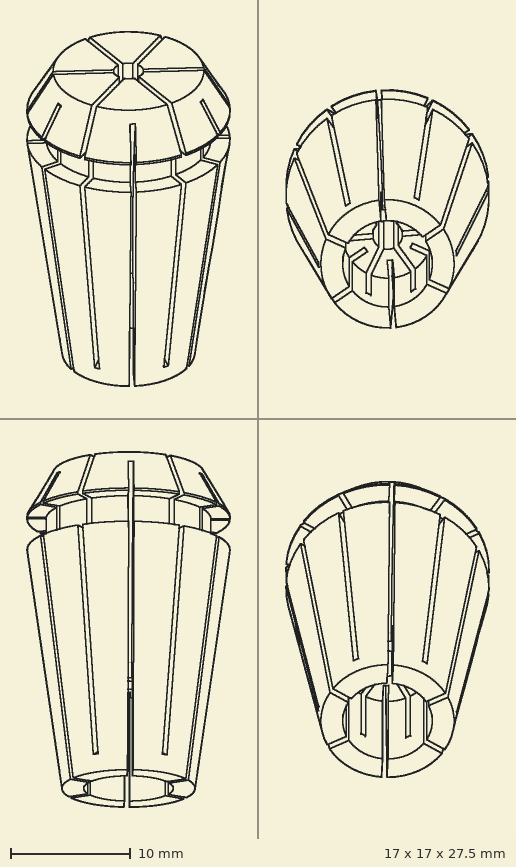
import cadquery as cq
import math

total_height = 27.5
max_radius = 8.5
taper_angle = 8.0
taper_height = 20.8
neck_radius = 6.9
neck_height = 2.7
rim_height = 0.2
nose_angle = 30.0

bore_radius = 1.25
relief_radius = 3.75
relief_depth = 9.0

slots_per_end = 6
slot_width = 0.45
slot_pitch = 360.0 / slots_per_end

top_slot_floor_outer_z = 1.5
top_slot_floor_inner_z = 2.85
top_slot_floor_radius = 8.0

bottom_slot_floor_radius = 2.2
bottom_slot_straight_height = 10.35
bottom_slot_runout_z = 26.5

clearance = 1.0

neck_top_z = taper_height + neck_height
nose_base_z = neck_top_z + rim_height


def taper_radius_at(z):
    """Radius of the lower taper at height z."""
    return max_radius - (taper_height - z) * math.tan(math.radians(taper_angle))


def nose_radius_at(z):
    """Radius of the nose cone at height z."""
    return max_radius - (z - nose_base_z) * math.tan(math.radians(nose_angle))


def make_body():
    """Turned body with taper, neck groove, rim and nose cone."""
    profile = (
        cq.Workplane("XZ")
        .moveTo(0, 0)
        .lineTo(taper_radius_at(0), 0)
        .lineTo(max_radius, taper_height)
        .lineTo(neck_radius, taper_height)
        .lineTo(neck_radius, neck_top_z)
        .lineTo(max_radius, neck_top_z)
        .lineTo(max_radius, nose_base_z)
        .lineTo(nose_radius_at(total_height), total_height)
        .lineTo(0, total_height)
        .close()
    )
    return profile.revolve(360, (0, 0, 0), (0, 1, 0))


def make_bore():
    """Through bore with a wider relief at the bottom end."""
    bore = cq.Workplane("XY").circle(bore_radius).extrude(total_height)
    relief = cq.Workplane("XY").circle(relief_radius).extrude(relief_depth)
    return bore.union(relief)


def make_top_slot():
    """Cutter for one slot open at the top, lying along +X."""
    floor_outer_radius = taper_radius_at(top_slot_floor_outer_z)
    outer_x = max_radius + clearance
    top_z = total_height + clearance
    profile = (
        cq.Workplane("XZ")
        .moveTo(0, top_slot_floor_inner_z)
        .lineTo(relief_radius, top_slot_floor_inner_z)
        .radiusArc((floor_outer_radius, top_slot_floor_outer_z), -top_slot_floor_radius)
        .lineTo(outer_x, top_slot_floor_outer_z)
        .lineTo(outer_x, top_z)
        .lineTo(0, top_z)
        .close()
    )
    return profile.extrude(slot_width / 2, both=True)


def make_bottom_slot():
    """Cutter for one slot open at the bottom, lying along +X."""
    runout_radius = nose_radius_at(bottom_slot_runout_z)
    arc_rise = bottom_slot_runout_z - bottom_slot_straight_height
    arc_depth = runout_radius - bottom_slot_floor_radius
    arc_radius = (arc_rise**2 + arc_depth**2) / (2 * arc_depth)
    outer_x = max_radius + clearance
    profile = (
        cq.Workplane("XZ")
        .moveTo(bottom_slot_floor_radius, -clearance)
        .lineTo(bottom_slot_floor_radius, bottom_slot_straight_height)
        .radiusArc((runout_radius, bottom_slot_runout_z), arc_radius)
        .lineTo(outer_x, bottom_slot_runout_z)
        .lineTo(outer_x, -clearance)
        .close()
    )
    return profile.extrude(slot_width / 2, both=True)


def cut_slots(body, cutter, first_angle):
    """Cut one ring of evenly spaced slots, starting at first_angle from +X."""
    for index in range(slots_per_end):
        angle = first_angle + index * slot_pitch
        body = body.cut(cutter.rotate((0, 0, 0), (0, 0, 1), angle))
    return body


collet = make_body().cut(make_bore())
collet = cut_slots(collet, make_top_slot(), 0)
result = cut_slots(collet, make_bottom_slot(), slot_pitch / 2)